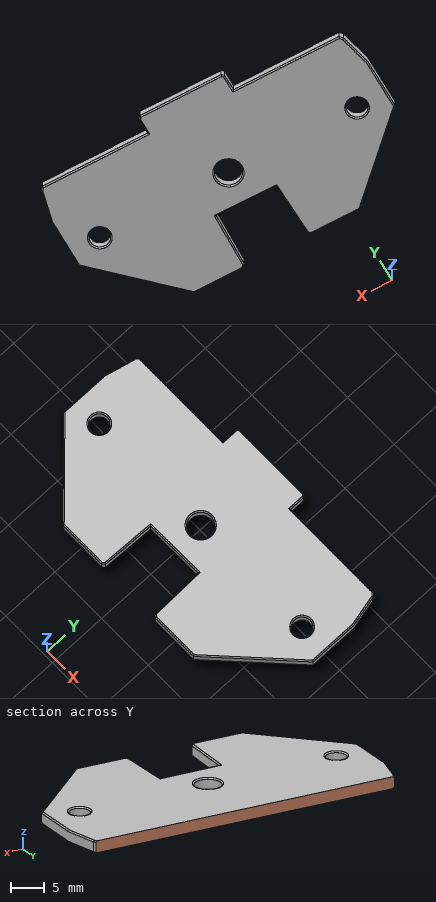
import cadquery as cq

length = 53.6
depth = 29.2
thickness = 2.0
edge_chamfer = 0.2

bottom_width = 28.1
side_low_y = 12.2
side_high_y = 20.45
shoulder_y = 26.15
shoulder_cut_low_y = 25.6
shoulder_cut_width = 51.1
shoulder_width = 50.15
tab_width = 14.5
tab_corner = 0.4

slot_mouth_width = 10.6
slot_end_width = 10.1
slot_depth_left = 9.3
slot_depth_right = 9.45
mouth_corner = 0.45

hole_y = 14.75
center_hole_diameter = 4.2
side_hole_diameter = 3.2
side_hole_spacing = 43.5


def half_outline(slot_depth):
    """Right half of the outline, from the slot end round to the tab."""
    mouth_x = slot_mouth_width / 2
    tab_x = tab_width / 2
    return [
        (slot_end_width / 2, slot_depth),
        (mouth_x, mouth_corner),
        (mouth_x + mouth_corner, 0),
        (bottom_width / 2, 0),
        (length / 2, side_low_y),
        (length / 2, side_high_y),
        (shoulder_cut_width / 2, shoulder_cut_low_y),
        (shoulder_width / 2, shoulder_y),
        (tab_x, shoulder_y),
        (tab_x, depth - tab_corner),
        (tab_x - tab_corner, depth),
    ]


def make_plate():
    """Flat plate with both rims of its outline chamfered."""
    right_half = half_outline(slot_depth_right)
    left_half = [(-x, y) for x, y in reversed(half_outline(slot_depth_left))]
    plate = cq.Workplane("XY").polyline(right_half + left_half).close().extrude(thickness)
    return plate.faces("<Z or >Z").edges().chamfer(edge_chamfer)


def make_hole_cutter(x, diameter):
    """Through bore that flares by the edge chamfer at both faces."""
    radius = diameter / 2
    rim_radius = radius + edge_chamfer
    profile = [
        (0, 0),
        (rim_radius, 0),
        (radius, edge_chamfer),
        (radius, thickness - edge_chamfer),
        (rim_radius, thickness),
        (0, thickness),
    ]
    cutter = cq.Workplane("XZ").polyline(profile).close().revolve(360, (0, 0), (0, 1))
    return cutter.translate((x, hole_y, 0))


result = make_plate().cut(make_hole_cutter(0, center_hole_diameter))
for side in (-1, 1):
    result = result.cut(make_hole_cutter(side * side_hole_spacing / 2, side_hole_diameter))